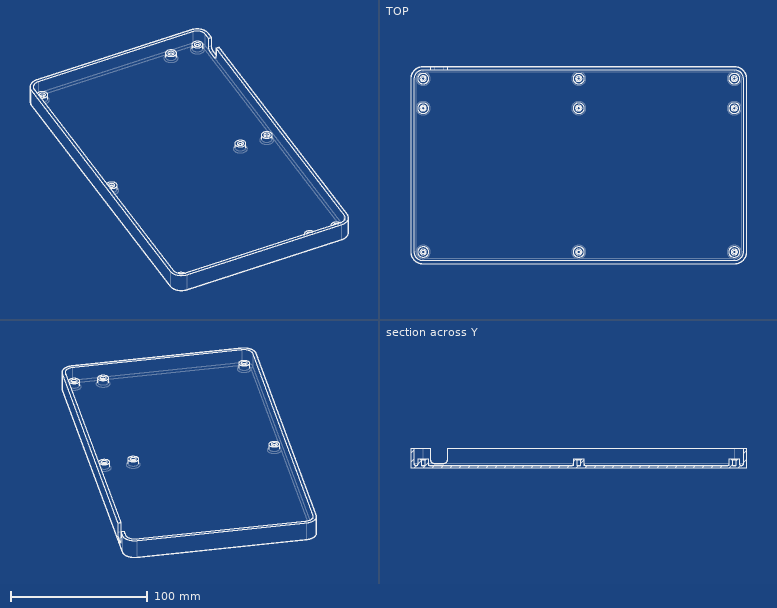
import cadquery as cq
length = 246.8
width = 145.0
height = 14.5
corner_radius = 9.1

wall = 2.5
floor = 2.0
floor_fillet = 1.5

boss_diameter = 8.0
boss_height = 5.0
boss_foot_radius = 1.1
hole_diameter = 2.5
hole_chamfer = 1.0
boss_x = 114.2
boss_y = 63.7
inner_row_y = 42.0

notch_width = 12.3
notch_center_x = -102.7
notch_corner_radius = 3.0
notch_bottom = floor + floor_fillet


def tray():
    """Open tray with rounded corners and a fillet between the walls and the floor."""
    body = (
        cq.Workplane("XY")
        .box(length, width, height, centered=(True, True, False))
        .edges("|Z")
        .fillet(corner_radius)
    )
    cavity = (
        cq.Workplane("XY", origin=(0, 0, floor))
        .box(length - 2 * wall, width - 2 * wall, height, centered=(True, True, False))
        .edges("|Z")
        .fillet(corner_radius - wall)
        .faces("<Z")
        .edges()
        .fillet(floor_fillet)
    )
    return body.cut(cavity)


def boss():
    """Boss with a filleted foot and a chamfered blind hole, revolved around the Z axis."""
    top = floor + boss_height
    outer = boss_diameter / 2
    inner = hole_diameter / 2
    return (
        cq.Workplane("XZ")
        .moveTo(inner, floor)
        .lineTo(outer + boss_foot_radius, floor)
        .radiusArc((outer, floor + boss_foot_radius), boss_foot_radius)
        .lineTo(outer, top)
        .lineTo(inner + hole_chamfer, top)
        .lineTo(inner, top - hole_chamfer)
        .close()
        .revolve(360, (0, 0, 0), (0, 1, 0))
    )


def notch():
    """Cutter for the notch, open at the rim and rounded at its lower corners."""
    return (
        cq.Workplane("XY", origin=(notch_center_x, width / 2 - wall, notch_bottom))
        .box(notch_width, wall, height, centered=(True, False, False))
        .edges("|Y and <Z")
        .fillet(notch_corner_radius)
    )


result = tray().cut(notch())
for x in (-boss_x, 0, boss_x):
    for y in (-boss_y, inner_row_y, boss_y):
        result = result.union(boss().translate((x, y, 0)))